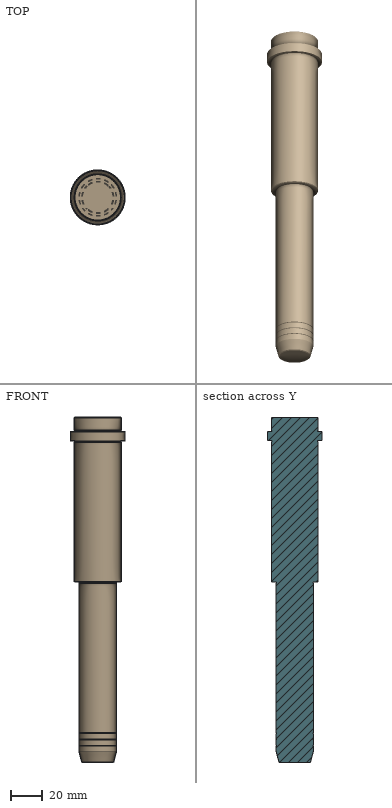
import cadquery as cq
import math

length = 220.0
collar_top = 9.0
collar_height = 6.0
shoulder_depth = 105.0

body_radius = 15.0
collar_radius = 17.5
shank_radius = 12.0

edge_chamfer = 0.5

collar_relief_height = 1.0
corner_relief_height = 0.8
relief_depth = 0.2
relief_angle = 20.0

taper_height = 7.0
taper_angle = 15.0
tip_chamfer = 0.5

groove_count = 3
first_groove_offset = 3.7
groove_pitch = 4.0
groove_width = 0.6
groove_depth = 0.3

collar_top_z = length - collar_top
collar_bottom_z = collar_top_z - collar_height
shoulder_z = length - shoulder_depth
tip_radius = shank_radius - taper_height * math.tan(math.radians(taper_angle))
tip_chamfer_radius = tip_radius + tip_chamfer * math.tan(math.radians(taper_angle))


def make_pin():
    """Revolve the half profile, traced from the tip up to the top face."""
    neck_radius = body_radius - relief_depth
    relief_bottom_z = collar_bottom_z - collar_relief_height
    slope_height = relief_depth / math.tan(math.radians(relief_angle))

    profile = (
        cq.Workplane("XZ")
        .lineTo(tip_chamfer_radius - tip_chamfer, 0)
        .lineTo(tip_chamfer_radius, tip_chamfer)
        .lineTo(shank_radius, taper_height)
        .lineTo(shank_radius, shoulder_z - corner_relief_height)
        .lineTo(shank_radius - relief_depth, shoulder_z - corner_relief_height + slope_height)
        .lineTo(shank_radius - relief_depth, shoulder_z)
        .lineTo(body_radius - edge_chamfer, shoulder_z)
        .lineTo(body_radius, shoulder_z + edge_chamfer)
        .lineTo(body_radius, relief_bottom_z)
        .lineTo(neck_radius, relief_bottom_z + slope_height)
        .lineTo(neck_radius, collar_bottom_z)
        .lineTo(collar_radius, collar_bottom_z)
        .lineTo(collar_radius, collar_top_z - edge_chamfer)
        .lineTo(collar_radius - edge_chamfer, collar_top_z)
        .lineTo(neck_radius, collar_top_z)
        .lineTo(neck_radius, collar_top_z + corner_relief_height - slope_height)
        .lineTo(body_radius, collar_top_z + corner_relief_height)
        .lineTo(body_radius, length - edge_chamfer)
        .lineTo(body_radius - edge_chamfer, length)
        .lineTo(0, length)
        .close()
    )
    return profile.revolve(360, (0, 0, 0), (0, 1, 0))


def make_groove(center_z):
    """V-section ring that cuts one oil groove around the shank."""
    half_width = groove_width / 2
    return (
        cq.Workplane("XZ")
        .moveTo(shank_radius, center_z - half_width)
        .lineTo(shank_radius - groove_depth, center_z)
        .lineTo(shank_radius, center_z + half_width)
        .close()
        .revolve(360, (0, 0, 0), (0, 1, 0))
    )


def cut_grooves(pin):
    first_groove_z = taper_height + first_groove_offset
    for index in range(groove_count):
        pin = pin.cut(make_groove(first_groove_z + index * groove_pitch))
    return pin


result = cut_grooves(make_pin())